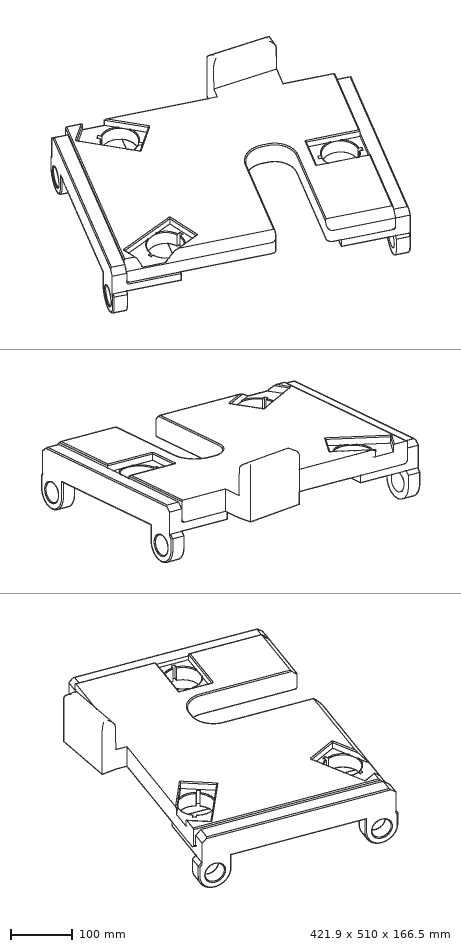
import cadquery as cq
import math

LENGTH = 510.0
WALL = 25.0
EDGE = 2.0
MARGIN = 0.5

PLATE_WIDTH = 350.0
PLATE_LENGTH = LENGTH - 2 * WALL
PLATE_TOP = 109.5
PLATE_THICKNESS = 39.5
PLATE_BOTTOM = PLATE_TOP - PLATE_THICKNESS
PLATE_SIDE_CHAMFER = 15.0
PLATE_LOWER_CHAMFER = 4.5

SLOT_END_X = 135.0
SLOT_OVERRUN = 5.0
SLOT_FRONT_Y = 28.0
SLOT_REAR_Y = 113.5
SLOT_INNER_RADIUS = 37.5
SLOT_MOUTH_RADIUS = 9.0

POCKET_WIDTH = 59.0
POCKET_DEPTH = 13.5
POCKET_TILT = 30.0
FRONT_POCKET_INNER = 41.5
FRONT_POCKET_OUTER = 65.5
REAR_POCKET_INNER = 49.5
HOLE_RADIUS = 31.0
HOLE_CHAMFER = 1.5
NOTCH_REACH = 37.5
NOTCH_WIDTH = 6.0
MIDDLE_X = 174.5
FRONT_HOLE_SPACING = 264.0
FRONT_HOLE_Y = -150.0
REAR_HOLE_Y = 187.5

PAD_TILT = 8.8
PAD_CORNER = (-46.5, 25.0)
PAD_LENGTH = 113.5
PAD_THICKNESS = 27.0
PAD_TOP_THICKNESS = 25.5
PAD_TOP = 166.5
PAD_FILLET = 10.0

BRACKET_WIDTH = PLATE_WIDTH
BRACKET_TOP = 104.0
BRACKET_CHAMFER = 9.0
RIGHT_CHAMFER_WIDTH = 11.5
FRONT_BRACKET_SHIFT = 4.0
FLANGE_BOTTOM = 55.5
FLANGE_REACH = 118.0
INNER_FILLET = PLATE_LOWER_CHAMFER
LUG_RADIUS = 29.5
LUG_LEFT_OVERHANG = 6.0
LUG_RIGHT_OVERHANG = 4.0
LUG_HOLE_RADIUS = 17.5
LUG_HOLE_CHAMFER = 1.5


def extruded(outline, bottom, top):
    """Prism on a closed XY outline between two heights."""
    return cq.Workplane("XY").workplane(offset=bottom).polyline(outline).close().extrude(top - bottom)


def plate_slab():
    slab = cq.Workplane("XY").box(
        PLATE_WIDTH, PLATE_LENGTH, PLATE_THICKNESS, centered=(False, True, False)
    )
    slab = slab.translate((0, 0, PLATE_BOTTOM))
    slab = slab.edges(">X and >Z").chamfer(PLATE_SIDE_CHAMFER)
    slab = slab.edges("<Z and (<Y or >Y)").chamfer(PLATE_LOWER_CHAMFER)
    return slab.edges(">Z and (<Y or >Y)").chamfer(EDGE)


def cut_slot(plate):
    slot = extruded(
        [
            (SLOT_END_X, SLOT_FRONT_Y),
            (PLATE_WIDTH + SLOT_OVERRUN, SLOT_FRONT_Y),
            (PLATE_WIDTH + SLOT_OVERRUN, SLOT_REAR_Y),
            (SLOT_END_X, SLOT_REAR_Y),
        ],
        PLATE_BOTTOM,
        PLATE_TOP,
    )
    slot = slot.edges("|Z and <X").fillet(SLOT_INNER_RADIUS)
    rim = slot.faces("<Z").wires().toPending().extrude(EDGE, taper=-45)
    rim = rim.translate((0, 0, PLATE_THICKNESS - EDGE))
    plate = plate.cut(slot).cut(rim)
    mouth = cq.selectors.BoxSelector(
        (PLATE_WIDTH - MARGIN, SLOT_FRONT_Y - MARGIN, PLATE_BOTTOM),
        (PLATE_WIDTH + MARGIN, SLOT_REAR_Y + MARGIN, PLATE_TOP),
    )
    return plate.edges("|Z").edges(mouth).fillet(SLOT_MOUTH_RADIUS)


def pocket_cutter(inner, outer):
    """Pocket and notched through hole about the Z axis; the pocket's inner end lies toward +Y."""
    middle = (inner - outer) / 2
    floor = PLATE_TOP - POCKET_DEPTH
    pocket = cq.Workplane("XY").workplane(offset=floor).center(0, middle)
    pocket = pocket.rect(POCKET_WIDTH, inner + outer).extrude(POCKET_DEPTH)
    rim = cq.Workplane("XY").workplane(offset=PLATE_TOP - EDGE).center(0, middle)
    rim = rim.rect(POCKET_WIDTH, inner + outer).extrude(EDGE, taper=-45)
    drill = cq.Workplane("XY").workplane(offset=PLATE_BOTTOM)
    hole = drill.circle(HOLE_RADIUS).extrude(floor - PLATE_BOTTOM)
    notches = drill.rect(NOTCH_WIDTH, 2 * NOTCH_REACH).extrude(floor - PLATE_BOTTOM)
    hole_rim = cq.Workplane("XY").workplane(offset=floor).circle(HOLE_RADIUS + HOLE_CHAMFER)
    hole_rim = hole_rim.extrude(-HOLE_CHAMFER, taper=45)
    return pocket.union(rim).union(hole).union(hole_rim).union(notches)


def cut_pockets(plate):
    for side in (-1, 1):
        cutter = pocket_cutter(FRONT_POCKET_INNER, FRONT_POCKET_OUTER)
        cutter = cutter.rotate((0, 0, 0), (0, 0, 1), side * POCKET_TILT)
        plate = plate.cut(cutter.translate((MIDDLE_X + side * FRONT_HOLE_SPACING / 2, FRONT_HOLE_Y, 0)))
    rear_outer = PLATE_LENGTH / 2 - REAR_HOLE_Y + EDGE
    cutter = pocket_cutter(REAR_POCKET_INNER, rear_outer)
    cutter = cutter.rotate((0, 0, 0), (0, 0, 1), 180)
    return plate.cut(cutter.translate((MIDDLE_X, REAR_HOLE_Y, 0)))


def make_pad():
    """Rounded upright pad: its inner face leans outward above the plate."""
    section = [
        (0, PLATE_BOTTOM),
        (PAD_THICKNESS, PLATE_BOTTOM),
        (PAD_THICKNESS, PLATE_TOP),
        (PAD_TOP_THICKNESS, PAD_TOP),
        (0, PAD_TOP),
    ]
    pad = cq.Workplane("XZ").polyline(section).close().extrude(-PAD_LENGTH)
    pad = pad.faces(">Z").edges().fillet(PAD_FILLET)
    pad = pad.rotate((0, 0, 0), (0, 0, 1), PAD_TILT)
    return pad.translate((*PAD_CORNER, 0))


def make_tongue():
    """Tongue from the plate edge to the inner face of the pad."""
    tilt = math.radians(PAD_TILT)
    front_x = PAD_CORNER[0] + PAD_THICKNESS * math.cos(tilt)
    front_y = PAD_CORNER[1] + PAD_THICKNESS * math.sin(tilt)
    rear_x = front_x - PAD_LENGTH * math.sin(tilt)
    rear_y = front_y + PAD_LENGTH * math.cos(tilt)
    return extruded(
        [(0, front_y), (front_x, front_y), (rear_x, rear_y), (0, rear_y)], PLATE_BOTTOM, PLATE_TOP
    )


def make_plate():
    plate = cut_pockets(cut_slot(plate_slab()))
    return plate.union(make_tongue()).union(make_pad())


def bracket_wall():
    """Upright wall with its two lugs; the outer face lies on Y = 0."""
    left = -LUG_LEFT_OVERHANG
    right = BRACKET_WIDTH + LUG_RIGHT_OVERHANG
    lug_width = 2 * LUG_RADIUS
    outline = (
        cq.Workplane("XZ")
        .moveTo(0, FLANGE_BOTTOM)
        .lineTo(left, FLANGE_BOTTOM - LUG_LEFT_OVERHANG)
        .lineTo(left, LUG_RADIUS)
        .threePointArc((left + LUG_RADIUS, 0), (left + lug_width, LUG_RADIUS))
        .lineTo(left + lug_width, FLANGE_BOTTOM)
        .lineTo(right - lug_width, FLANGE_BOTTOM)
        .lineTo(right - lug_width, LUG_RADIUS)
        .threePointArc((right - LUG_RADIUS, 0), (right, LUG_RADIUS))
        .lineTo(right, FLANGE_BOTTOM - LUG_RIGHT_OVERHANG)
        .lineTo(BRACKET_WIDTH, FLANGE_BOTTOM)
        .lineTo(BRACKET_WIDTH, BRACKET_TOP - BRACKET_CHAMFER)
        .lineTo(BRACKET_WIDTH - RIGHT_CHAMFER_WIDTH, BRACKET_TOP)
        .lineTo(BRACKET_CHAMFER, BRACKET_TOP)
        .lineTo(0, BRACKET_TOP - BRACKET_CHAMFER)
        .close()
    )
    wall = outline.extrude(-WALL)
    lower_edges = cq.selectors.BoxSelector(
        (left - MARGIN, -MARGIN, -MARGIN), (right + MARGIN, MARGIN, FLANGE_BOTTOM + MARGIN)
    )
    wall = wall.faces("<Y").edges(lower_edges).chamfer(EDGE)
    return wall.edges("<Y and >Z").chamfer(EDGE)


def make_bracket():
    """Front bracket: an upright wall with two drilled lugs and a flange under the plate."""
    flange = cq.Workplane("XY").box(
        BRACKET_WIDTH, FLANGE_REACH - WALL, PLATE_BOTTOM - FLANGE_BOTTOM, centered=False
    )
    bracket = bracket_wall().union(flange.translate((0, WALL, FLANGE_BOTTOM)))
    corner = cq.selectors.BoxSelector(
        (0, WALL - MARGIN, PLATE_BOTTOM - MARGIN), (BRACKET_WIDTH, WALL + MARGIN, PLATE_BOTTOM + MARGIN)
    )
    bracket = bracket.edges("|X").edges(corner).fillet(INNER_FILLET)
    hole_xs = (LUG_RADIUS - LUG_LEFT_OVERHANG, BRACKET_WIDTH + LUG_RIGHT_OVERHANG - LUG_RADIUS)
    for x in hole_xs:
        drill = cq.Workplane("XZ").center(x, LUG_RADIUS)
        bracket = bracket.cut(drill.circle(LUG_HOLE_RADIUS).extrude(-WALL))
        rim = drill.circle(LUG_HOLE_RADIUS + LUG_HOLE_CHAMFER).extrude(-LUG_HOLE_CHAMFER, taper=45)
        bracket = bracket.cut(rim)
    return bracket.translate((0, -LENGTH / 2, 0))


plate = make_plate()
front_bracket = make_bracket().translate((FRONT_BRACKET_SHIFT, 0, 0))
rear_bracket = make_bracket().mirror("XZ")

result = cq.Compound.makeCompound([plate.val(), front_bracket.val(), rear_bracket.val()])